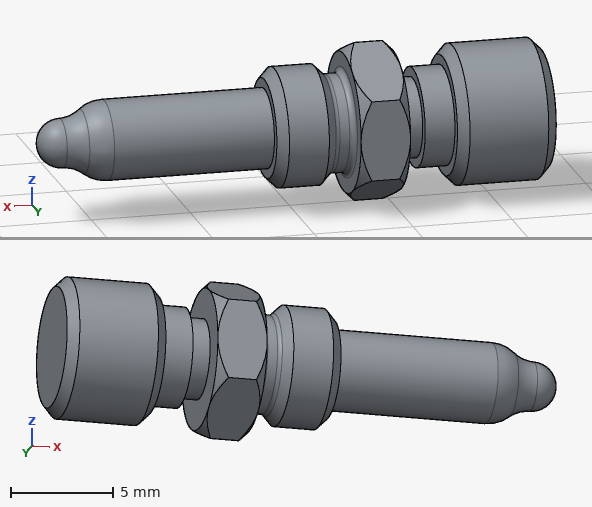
import cadquery as cq
import math


length = 25.5
head_diameter = 7.0
head_length = 5.0
head_chamfer = 0.5
shoulder_diameter = 5.0
shoulder_length = 1.5
rod_diameter = 4.0
rod_end = 22.08
curve_change = 23.23
tip_radius = 1.22

hex_start = 7.5
hex_length = 2.5
hex_across_flats = head_diameter
barrel_diameter = 6.0
barrel_end = 14.0
barrel_chamfer = 0.5
barrel_full_start = 11.48
groove_diameter = 4.9
groove_fillet = 0.3

hex_end = hex_start + hex_length
hex_across_corners = hex_across_flats / math.cos(math.pi / 6)


def revolve_about_x(profile):
    return profile.close().revolve(360, (0, 0, 0), (1, 0, 0))


def make_plunger():
    head_radius = head_diameter / 2
    rod_radius = rod_diameter / 2
    shoulder_end = head_length + shoulder_length
    dome_start = length - tip_radius
    fall_share = (curve_change - rod_end) / (dome_start - rod_end)
    curve_change_radius = rod_radius - fall_share * (rod_radius - tip_radius)
    profile = (
        cq.Workplane("XY")
        .lineTo(0, head_radius - head_chamfer)
        .lineTo(head_chamfer, head_radius)
        .lineTo(head_length - head_chamfer, head_radius)
        .lineTo(head_length, head_radius - head_chamfer)
        .lineTo(head_length, shoulder_diameter / 2)
        .lineTo(shoulder_end, shoulder_diameter / 2)
        .lineTo(shoulder_end, rod_radius)
        .lineTo(rod_end, rod_radius)
        .tangentArcPoint((curve_change, curve_change_radius), relative=False)
        .tangentArcPoint((dome_start, tip_radius), relative=False)
        .tangentArcPoint((length, 0), relative=False)
    )
    return revolve_about_x(profile)


def make_hexagon():
    flat_radius = hex_across_flats / 2
    corner_radius = hex_across_corners / 2
    bevel = corner_radius - flat_radius
    prism = (
        cq.Workplane("YZ", origin=(hex_start, 0, 0))
        .transformed(rotate=(0, 0, 90))
        .polygon(6, hex_across_corners)
        .extrude(hex_length)
    )
    bevelled_cylinder = (
        cq.Workplane("YZ", origin=(hex_start, 0, 0))
        .circle(corner_radius)
        .extrude(hex_length)
        .faces("<X or >X")
        .chamfer(bevel)
    )
    return prism.intersect(bevelled_cylinder)


def make_barrel():
    groove_radius = groove_diameter / 2
    barrel_radius = barrel_diameter / 2
    cone_foot = barrel_full_start - (barrel_radius - groove_radius)
    tangent_length = groove_fillet * math.tan(math.pi / 8)
    cone_step = tangent_length * math.cos(math.pi / 4)
    profile = (
        cq.Workplane("XY")
        .moveTo(hex_end, 0)
        .lineTo(hex_end, groove_radius + groove_fillet)
        .radiusArc((hex_end + groove_fillet, groove_radius), -groove_fillet)
        .lineTo(cone_foot - tangent_length, groove_radius)
        .tangentArcPoint((cone_foot + cone_step, groove_radius + cone_step), relative=False)
        .lineTo(barrel_full_start, barrel_radius)
        .lineTo(barrel_end - barrel_chamfer, barrel_radius)
        .lineTo(barrel_end, barrel_radius - barrel_chamfer)
        .lineTo(barrel_end, 0)
    )
    return revolve_about_x(profile)


def make_housing():
    bore = (
        cq.Workplane("YZ", origin=(hex_start, 0, 0))
        .circle(rod_diameter / 2)
        .extrude(barrel_end - hex_start)
    )
    return make_hexagon().union(make_barrel()).cut(bore)


plunger = make_plunger()
housing = make_housing()

result = cq.Compound.makeCompound([plunger.val(), housing.val()])